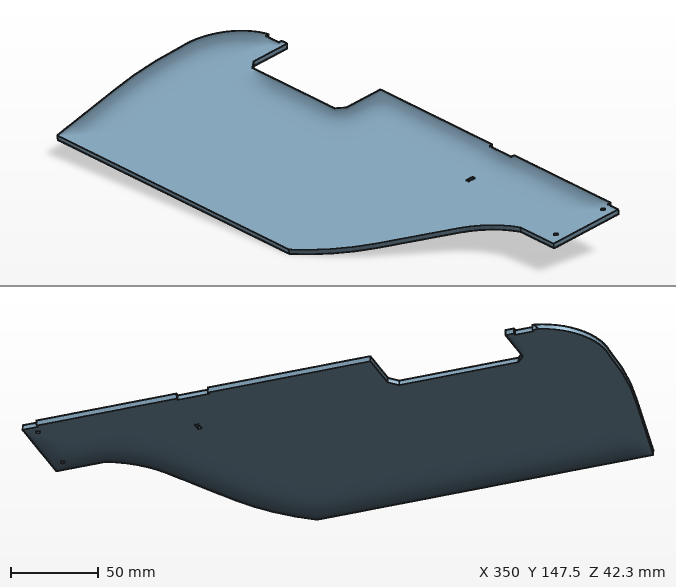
import cadquery as cq
import math

length = 350.0
width = 147.5
thickness = 3.08
fall_along_x = math.tan(math.radians(2.5))
rise_along_y = math.tan(math.radians(11.7))

nose_foot_x = 20.5
nose_flank_end = (7.5, 53.0)
nose_flank_mid = (2.17, 78.5)
nose_tip = (0.45, 106.8)
nose_crown_mid = (7.7, 133.8)
nose_crown_end_x = 29.8

tab_front_y = 97.7
tab_root_x = 320.0
shoulder_mid = (304.5, 89.3)
shoulder_end = (291.7, 75.3)
sweep_start = (266.5, 35.0)
sweep_mid = (251.5, 16.5)
sweep_foot_x = 230.8

cutout_x = (47.5, 132.0)
cutout_floor_y = 117.5
cutout_chamfer = 5.0

recess_depth = 2.0
recess_spans = [(30.8, 42.5), (233.5, 253.0), (340.7, length)]

hole_diameter = 2.5
hole_x = 342.8
hole_ys = (105.5, 140.0)
slot_x = 254.0
slot_y = 115.0
slot_width = 2.0
slot_length = 4.5

overrun = 7.0

top_plane = cq.Plane(
    origin=(0, 0, 0),
    xDir=(1, 0, -fall_along_x),
    normal=(fall_along_x, -rise_along_y, 1),
)


def on_plate(x, y):
    """Local top-face coordinates of the point lying at plan position (x, y)."""
    point = cq.Vector(x, y, rise_along_y * y - fall_along_x * x)
    local = top_plane.toLocalCoords(point)
    return (local.x, local.y)


def plan_polygon(points):
    """Closed polygon on the top face, given by its plan corners."""
    return cq.Workplane(top_plane).polyline([on_plate(*p) for p in points]).close()


def cutter(points):
    """Prism square to the plate that passes right through it."""
    return plan_polygon(points).extrude(thickness + overrun, both=True)


def rectangle(x0, x1, y0, y1):
    return [(x0, y0), (x1, y0), (x1, y1), (x0, y1)]


def make_plate():
    """Plate with edges square to its faces, then its back edge cut upright."""
    back = width + overrun
    plate = (
        cq.Workplane(top_plane)
        .moveTo(*on_plate(nose_foot_x, 0))
        .lineTo(*on_plate(*nose_flank_end))
        .threePointArc(on_plate(*nose_flank_mid), on_plate(*nose_tip))
        .threePointArc(on_plate(*nose_crown_mid), on_plate(nose_crown_end_x, width))
        .lineTo(*on_plate(nose_crown_end_x, back))
        .lineTo(*on_plate(length, back))
        .lineTo(*on_plate(length, tab_front_y))
        .lineTo(*on_plate(tab_root_x, tab_front_y))
        .threePointArc(on_plate(*shoulder_mid), on_plate(*shoulder_end))
        .lineTo(*on_plate(*sweep_start))
        .threePointArc(on_plate(*sweep_mid), on_plate(sweep_foot_x, 0))
        .close()
        .extrude(-thickness)
    )
    trim = cq.Workplane("XY").box(2 * length, 2 * overrun, length).translate(
        (length / 2, width + overrun, 0)
    )
    return plate.cut(trim)


def make_cutout():
    left, right = cutout_x
    back = width + overrun
    return cutter([
        (left, back),
        (left, cutout_floor_y + cutout_chamfer),
        (left + cutout_chamfer, cutout_floor_y),
        (right - cutout_chamfer, cutout_floor_y),
        (right, cutout_floor_y + cutout_chamfer),
        (right, back),
    ])


result = make_plate().cut(make_cutout())

for start, end in recess_spans:
    stop = end + overrun if end == length else end
    result = result.cut(cutter(rectangle(start, stop, width - recess_depth, width + overrun)))

holes = (
    cq.Workplane(top_plane)
    .pushPoints([on_plate(hole_x, y) for y in hole_ys])
    .circle(hole_diameter / 2)
    .extrude(thickness + overrun, both=True)
)
result = result.cut(holes)

slot = cutter(rectangle(
    slot_x - slot_width / 2,
    slot_x + slot_width / 2,
    slot_y - slot_length / 2,
    slot_y + slot_length / 2,
))
result = result.cut(slot)